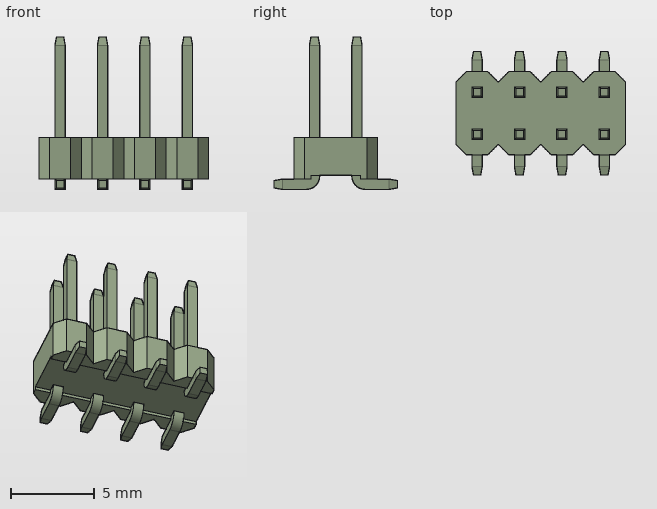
import cadquery as cq
import math

columns = 4
pitch = 2.54

body_length = columns * pitch
body_width = 5.0
body_height = 2.5
corner_chamfer = pitch / 4
channel_width = 2.99
channel_depth = 0.21

total_height = 9.14
lead_span = 7.4
pin_size = 0.63
tip_size = 0.45
tip_length = 0.5
outer_bend_radius = 0.81
inner_bend_radius = outer_bend_radius - pin_size

body_bottom = pin_size

row_y = pitch / 2
pin_inner_y = row_y - pin_size / 2
pin_outer_y = row_y + pin_size / 2
lead_end_y = lead_span / 2
bend_center_y = pin_inner_y + outer_bend_radius


def make_housing():
    """Block with chamfered corners, V notches between columns and a channel underneath."""
    edge_y = body_width / 2
    notch_y = edge_y - corner_chamfer
    front_edge = [(-body_length / 2, -notch_y)]
    for column in range(columns):
        left = -body_length / 2 + column * pitch
        right = left + pitch
        front_edge += [
            (left + corner_chamfer, -edge_y),
            (right - corner_chamfer, -edge_y),
            (right, -notch_y),
        ]
    back_edge = [(x, -y) for x, y in reversed(front_edge)]
    block = (
        cq.Workplane("XY", origin=(0, 0, body_bottom))
        .polyline(front_edge + back_edge)
        .close()
        .extrude(body_height)
    )
    channel = cq.Workplane("XY", origin=(0, 0, body_bottom)).box(
        body_length, channel_width, channel_depth, centered=(True, True, False)
    )
    return block.cut(channel)


def make_tip(base_plane):
    """Tapered square tip growing along the normal of the given plane."""
    return (
        cq.Workplane(base_plane)
        .rect(pin_size, pin_size)
        .workplane(offset=tip_length)
        .rect(tip_size, tip_size)
        .loft(ruled=True)
    )


def make_contact():
    """Upright pin of the +Y row at X = 0, bent outward into a flat lead."""
    pin_shoulder_z = total_height - tip_length
    lead_shoulder_y = lead_end_y - tip_length
    diagonal = math.sqrt(0.5)
    outer_mid = (
        bend_center_y - outer_bend_radius * diagonal,
        outer_bend_radius * (1 - diagonal),
    )
    inner_mid = (
        bend_center_y - inner_bend_radius * diagonal,
        outer_bend_radius - inner_bend_radius * diagonal,
    )
    strip = (
        cq.Workplane("YZ", origin=(-pin_size / 2, 0, 0))
        .moveTo(pin_inner_y, pin_shoulder_z)
        .lineTo(pin_inner_y, outer_bend_radius)
        .threePointArc(outer_mid, (bend_center_y, 0))
        .lineTo(lead_shoulder_y, 0)
        .lineTo(lead_shoulder_y, pin_size)
        .lineTo(bend_center_y, pin_size)
        .threePointArc(inner_mid, (pin_outer_y, outer_bend_radius))
        .lineTo(pin_outer_y, pin_shoulder_z)
        .close()
        .extrude(pin_size)
    )
    pin_tip = make_tip(cq.Plane((0, row_y, pin_shoulder_z), (1, 0, 0), (0, 0, 1)))
    lead_tip = make_tip(cq.Plane((0, lead_shoulder_y, pin_size / 2), (1, 0, 0), (0, 1, 0)))
    return strip.union(pin_tip).union(lead_tip)


result = make_housing()
back_contact = make_contact()
front_contact = back_contact.mirror("XZ")
for column in range(columns):
    column_x = (column - (columns - 1) / 2) * pitch
    for contact in (back_contact, front_contact):
        result = result.union(contact.translate((column_x, 0, 0)))